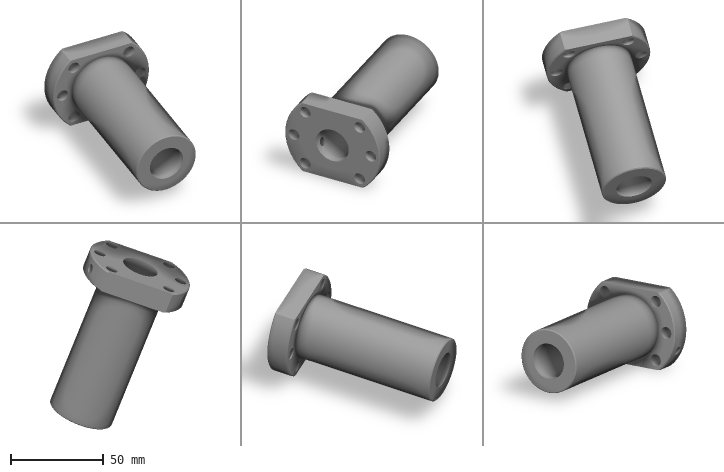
import cadquery as cq
import math

total_length = 92.0
flange_diameter = 58.0
flange_height = 44.0
flange_thickness = 12.0
barrel_diameter = 36.0
bore_diameter = 20.0
edge_chamfer = 0.55

screw_hole_diameter = 6.6
screw_circle_radius = 23.5
screw_angles = (-45, 0, 45, 135, 180, 225)

oil_hole_diameter = 5.0
oil_hole_angle = (screw_angles[0] + screw_angles[1]) / 2


def x_cylinder(diameter, length):
    return cq.Workplane("YZ").circle(diameter / 2).extrude(length)


def make_flange():
    """Disc chamfered on both rims, then cut to two parallel flats."""
    disc = x_cylinder(flange_diameter, flange_thickness).edges().chamfer(edge_chamfer)
    flats = cq.Workplane("YZ").rect(flange_diameter, flange_height).extrude(flange_thickness)
    return disc.intersect(flats)


def make_barrel():
    return x_cylinder(barrel_diameter, total_length).faces(">X").edges().chamfer(edge_chamfer)


def make_screw_holes():
    centers = [
        (
            screw_circle_radius * math.cos(math.radians(angle)),
            screw_circle_radius * math.sin(math.radians(angle)),
        )
        for angle in screw_angles
    ]
    return (
        cq.Workplane("YZ")
        .pushPoints(centers)
        .circle(screw_hole_diameter / 2)
        .extrude(flange_thickness)
    )


def make_oil_hole():
    """Radial hole from the bore out through the flange rim."""
    angle = math.radians(oil_hole_angle)
    direction = cq.Vector(0, math.cos(angle), math.sin(angle))
    start = cq.Vector(flange_thickness / 2, 0, 0)
    return cq.Workplane(
        cq.Solid.makeCylinder(oil_hole_diameter / 2, flange_diameter, start, direction)
    )


result = (
    make_flange()
    .union(make_barrel())
    .cut(x_cylinder(bore_diameter, total_length))
    .cut(make_screw_holes())
    .cut(make_oil_hole())
)